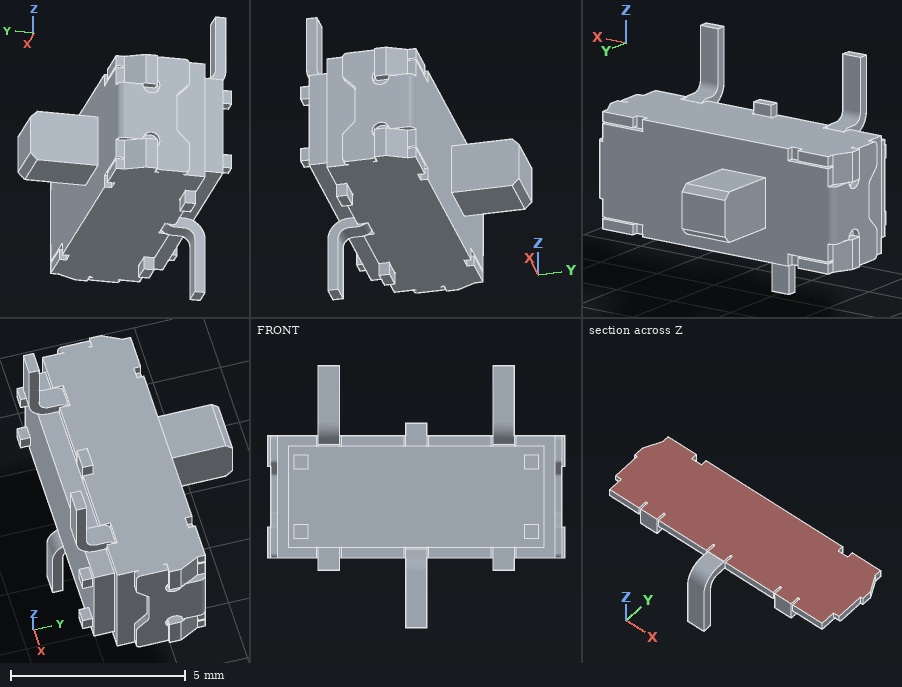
import cadquery as cq
import math


CASING_HALF_LENGTH = 3.96
CASING_DEPTH = 2.62
CASING_HALF_WIDTH = 1.75

BASE_HALF_LENGTH = 3.655
BASE_HALF_WIDTH = 1.445
BASE_DEPTH = 0.6
PEG_SIZE = 0.4
PEG_X = 3.29
PEG_Z = 0.995
FRONT_Y = -0.89

KNOB_WIDTH = 1.505
KNOB_X = -1.0
KNOB_END_Y = 4.61
KNOB_CHAMFER = 0.2

END_PLATE_THICKNESS = 0.2
NECK_HALF_WIDTH = 0.86
SHOULDER_Y = 1.505
FOOT_Y = 0.51
CORNER_RADIUS = 0.13
CUTOUT_DEPTH = 0.37
CUTOUT_UPPER_Z = 0.62
CUTOUT_LOWER_Z = -0.48
RELIEF_RADIUS = 0.25
RELIEF_Y = 1.63

TAB_REACH = 4.25
TAB_FRONT_Y = 1.47
TAB_CREST_Y = 1.82
TAB_SLOPE_END_Y = 2.38

SLIT_WIDTH = 0.05
NOTCH_INNER_X = 2.55
NOTCH_LENGTH = 0.35

LEAD_THICKNESS = 0.31
OUTER_LEAD_X = 2.5
OUTER_LEAD_WIDTH = 0.62
MIDDLE_LEAD_WIDTH = 0.6
LEAD_SLOT_CLEARANCE = 0.047
LEAD_TOP_Z = 3.75
LEAD_STUB_Z = 2.11
LEAD_ARM_Z = 1.8


def block(x0, x1, y0, y1, z0, z1):
    """Box between two opposite corners."""
    return cq.Workplane("XY").box(x1 - x0, y1 - y0, z1 - z0, centered=False).translate((x0, y0, z0))


def make_casing():
    return block(
        -CASING_HALF_LENGTH, CASING_HALF_LENGTH,
        0, CASING_DEPTH,
        -CASING_HALF_WIDTH, CASING_HALF_WIDTH,
    )


def make_base():
    base = block(
        -BASE_HALF_LENGTH, BASE_HALF_LENGTH,
        -BASE_DEPTH, 0,
        -BASE_HALF_WIDTH, BASE_HALF_WIDTH,
    )
    half = PEG_SIZE / 2
    for x in (-PEG_X, PEG_X):
        for z in (-PEG_Z, PEG_Z):
            base = base.union(block(x - half, x + half, FRONT_Y, -BASE_DEPTH, z - half, z + half))
    return base


def make_knob():
    half = KNOB_WIDTH / 2
    knob = block(KNOB_X - half, KNOB_X + half, CASING_DEPTH, KNOB_END_Y, -half, half)
    return knob.faces(">Y").edges("|X").chamfer(KNOB_CHAMFER)


def make_end_plate():
    """Plate on the -X end of the casing, with a rounded rear edge and a 45 degree cutout at its foot."""
    cutout_y = FOOT_Y + CUTOUT_DEPTH
    foot = (
        cq.Workplane("YZ")
        .polyline([
            (SHOULDER_Y, -CASING_HALF_WIDTH),
            (FOOT_Y, -CASING_HALF_WIDTH),
            (FOOT_Y, CUTOUT_LOWER_Z - CUTOUT_DEPTH),
            (cutout_y, CUTOUT_LOWER_Z),
            (cutout_y, CUTOUT_UPPER_Z),
            (FOOT_Y, CUTOUT_UPPER_Z + CUTOUT_DEPTH),
            (FOOT_Y, CASING_HALF_WIDTH),
            (SHOULDER_Y, CASING_HALF_WIDTH),
        ])
        .close()
        .extrude(END_PLATE_THICKNESS)
        .edges("|X")
        .fillet(CORNER_RADIUS)
    )
    neck = (
        cq.Workplane("XY", origin=(0, 0, -NECK_HALF_WIDTH))
        .moveTo(END_PLATE_THICKNESS, cutout_y)
        .lineTo(0, cutout_y)
        .lineTo(0, CASING_DEPTH - END_PLATE_THICKNESS)
        .radiusArc((END_PLATE_THICKNESS, CASING_DEPTH), END_PLATE_THICKNESS)
        .close()
        .extrude(2 * NECK_HALF_WIDTH)
    )
    reliefs = (
        cq.Workplane("YZ")
        .pushPoints([(RELIEF_Y, -NECK_HALF_WIDTH), (RELIEF_Y, NECK_HALF_WIDTH)])
        .circle(RELIEF_RADIUS)
        .extrude(END_PLATE_THICKNESS)
    )
    plate = foot.union(neck).cut(reliefs)
    return plate.translate((-CASING_HALF_LENGTH - END_PLATE_THICKNESS, 0, 0))


def make_tab():
    """Ramped tab at the upper corner of the -X end."""
    return (
        cq.Workplane("XY", origin=(0, 0, NECK_HALF_WIDTH))
        .polyline([
            (-CASING_HALF_LENGTH, TAB_FRONT_Y),
            (-TAB_REACH, TAB_FRONT_Y),
            (-TAB_REACH, TAB_CREST_Y),
            (-CASING_HALF_LENGTH, TAB_SLOPE_END_Y),
        ])
        .close()
        .extrude(CASING_HALF_WIDTH - NECK_HALF_WIDTH)
    )


def make_bend_relief():
    """Slit from the -X end into a notch that opens through the upper face."""
    front_y = CASING_DEPTH - END_PLATE_THICKNESS
    slit_bottom = BASE_HALF_WIDTH - SLIT_WIDTH
    notch_outer_x = NOTCH_INNER_X + NOTCH_LENGTH
    slit = block(-CASING_HALF_LENGTH, -notch_outer_x, front_y, CASING_DEPTH, slit_bottom, BASE_HALF_WIDTH)
    notch = block(-notch_outer_x, -NOTCH_INNER_X, front_y, CASING_DEPTH, slit_bottom, CASING_HALF_WIDTH)
    return slit.union(notch)


def at_both_ends(shape):
    return shape.union(shape.mirror("YZ"))


def at_four_corners(shape):
    return at_both_ends(shape.union(shape.mirror("XY")))


def make_lead(x, width):
    """Strip that crosses the casing, turns out through its front and turns up again."""
    t = LEAD_THICKNESS
    inner_radius = LEAD_STUB_Z - LEAD_ARM_Z
    outer_radius = inner_radius + t
    bend_y = FRONT_Y + outer_radius
    bend_z = LEAD_STUB_Z
    diagonal = math.sqrt(0.5)
    arm_bottom = LEAD_ARM_Z - t
    return (
        cq.Workplane("YZ", origin=(x - width / 2, 0, 0))
        .moveTo(t, -LEAD_STUB_Z)
        .lineTo(t, arm_bottom)
        .threePointArc((t * diagonal, arm_bottom + t * diagonal), (0, LEAD_ARM_Z))
        .lineTo(bend_y, LEAD_ARM_Z)
        .threePointArc(
            (bend_y - inner_radius * diagonal, bend_z - inner_radius * diagonal),
            (FRONT_Y + t, bend_z),
        )
        .lineTo(FRONT_Y + t, LEAD_TOP_Z)
        .lineTo(FRONT_Y, LEAD_TOP_Z)
        .lineTo(FRONT_Y, bend_z)
        .threePointArc(
            (bend_y - outer_radius * diagonal, bend_z - outer_radius * diagonal),
            (bend_y, arm_bottom),
        )
        .lineTo(0, arm_bottom)
        .lineTo(0, -LEAD_STUB_Z)
        .close()
        .extrude(width)
    )


def make_lead_slot(x, width):
    """Slot in the casing front, open at both sides, that holds one lead."""
    half = width / 2 + LEAD_SLOT_CLEARANCE
    return block(x - half, x + half, 0, LEAD_THICKNESS, -CASING_HALF_WIDTH, CASING_HALF_WIDTH)


outer_slot = make_lead_slot(-OUTER_LEAD_X, OUTER_LEAD_WIDTH)
casing = (
    make_casing()
    .cut(at_both_ends(outer_slot))
    .cut(make_lead_slot(0, MIDDLE_LEAD_WIDTH))
    .cut(at_four_corners(make_bend_relief()))
)

outer_leads = at_both_ends(make_lead(-OUTER_LEAD_X, OUTER_LEAD_WIDTH))
middle_lead = make_lead(0, MIDDLE_LEAD_WIDTH).mirror("XY")

result = (
    casing
    .union(at_both_ends(make_end_plate()))
    .union(at_four_corners(make_tab()))
    .union(make_base())
    .union(make_knob())
    .union(outer_leads)
    .union(middle_lead)
)